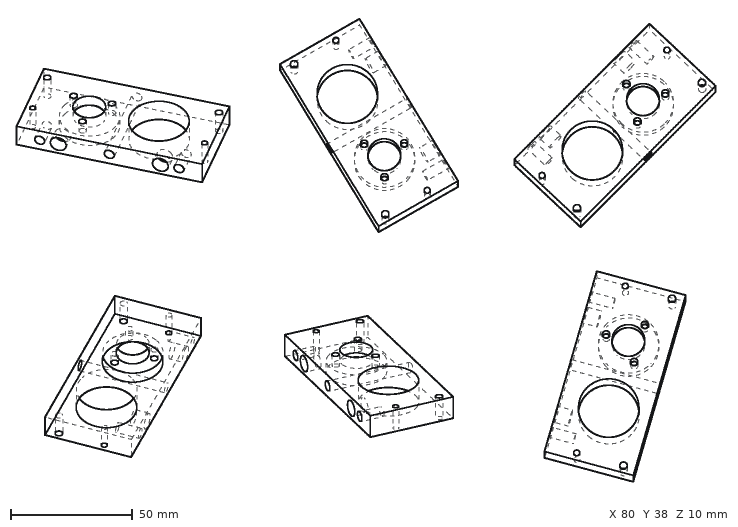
import cadquery as cq

length = 80
width = 38.0
thickness = 10.0

bore_spacing = 30.0
bore_y = 1.5
large_bore_diameter = 25.0
small_bore_diameter = 13.5

recess_diameter = large_bore_diameter
recess_depth = thickness / 2

screw_circle_radius = 9.5
screw_count = 3
first_screw_angle = -90
screw_diameter = 3.0

end_hole_spacing = 74.0
upper_pair_y = 14.0
lower_pair_y = -6.0
upper_pair_diameter = 3.0
lower_pair_diameter = 2.5

edge_hole_diameter = 4.2
outer_edge_spacing = 60
outer_edge_depth = 10.0
wide_edge_spacing = 44
wide_edge_diameter = 6.8
wide_edge_depth = 6.0


def vertical_holes(centers, diameter, depth=thickness):
    """Cylinders rising from the underside along Z, through the plate by default."""
    plane = cq.Workplane("XY", origin=(0, 0, -thickness / 2))
    return plane.pushPoints(centers).circle(diameter / 2).extrude(depth)


def edge_holes(x_positions, diameter, depth):
    """Cylinders entering the -Y edge and running toward +Y."""
    plane = cq.Workplane("XZ", origin=(0, -width / 2, 0))
    centers = [(x, 0) for x in x_positions]
    return plane.pushPoints(centers).circle(diameter / 2).extrude(-depth)


def mirrored(spacing):
    """X positions of a pair placed symmetrically about the middle."""
    return [-spacing / 2, spacing / 2]


result = cq.Workplane("XY").box(length, width, thickness)

small_bore_x, large_bore_x = mirrored(bore_spacing)
result = result.cut(vertical_holes([(large_bore_x, bore_y)], large_bore_diameter))
result = result.cut(vertical_holes([(small_bore_x, bore_y)], small_bore_diameter))

result = result.cut(vertical_holes([(small_bore_x, bore_y)], recess_diameter, recess_depth))

screw_holes = (
    cq.Workplane("XY", origin=(small_bore_x, bore_y, -thickness / 2))
    .polarArray(screw_circle_radius, first_screw_angle, 360, screw_count)
    .circle(screw_diameter / 2)
    .extrude(thickness)
)
result = result.cut(screw_holes)

for pair_y, diameter in [
    (upper_pair_y, upper_pair_diameter),
    (lower_pair_y, lower_pair_diameter),
]:
    centers = [(x, pair_y) for x in mirrored(end_hole_spacing)]
    result = result.cut(vertical_holes(centers, diameter))

result = result.cut(edge_holes([0], edge_hole_diameter, width))
result = result.cut(edge_holes(mirrored(outer_edge_spacing), edge_hole_diameter, outer_edge_depth))
result = result.cut(edge_holes(mirrored(wide_edge_spacing), wide_edge_diameter, wide_edge_depth))